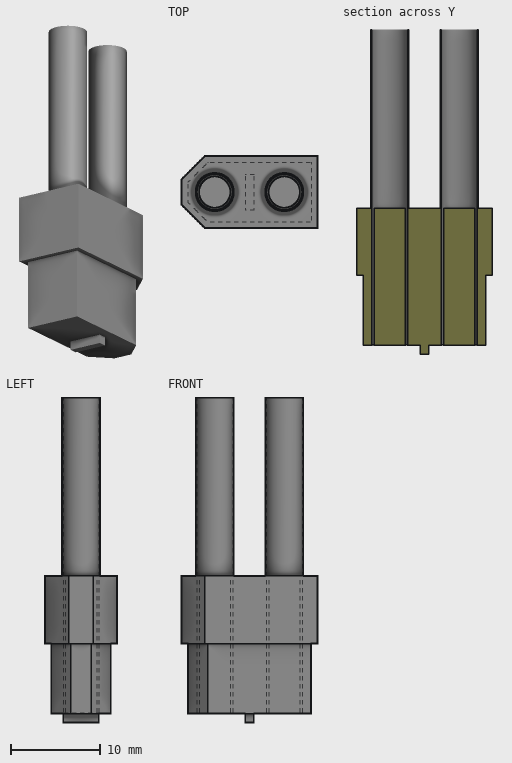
import cadquery as cq

flange_length = 15.3
flange_width = 8.1
flange_height = 7.6
flange_corner_cut = 2.65

plug_length = 13.8
plug_width = 6.7
plug_height = 7.85
plug_corner_cut = 2.2

tab_length = 1.0
tab_width = 4.0
tab_height = 1.0

contact_pitch = 7.8
contact_pin_diameter = 3.5
contact_gap_diameter = 4.0
contact_gap_floor = 0.1

sleeve_outer_diameter = 4.3
sleeve_inner_diameter = contact_gap_diameter
sleeve_height = 20.0

flange_top = plug_height + flange_height
contact_gap_depth = flange_top - contact_gap_floor
contact_positions = [(-contact_pitch / 2, 0), (contact_pitch / 2, 0)]


def keyed_block(length, width, height, corner_cut, base_z):
    """Upright block with both vertical edges at its -X end chamfered."""
    return (
        cq.Workplane("XY", origin=(0, 0, base_z))
        .box(length, width, height, centered=(True, True, False))
        .edges("|Z and <X")
        .chamfer(corner_cut)
    )


def ring(x, y, outer_diameter, inner_diameter, height):
    """Tube along Z, starting at the top of the flange."""
    return (
        cq.Workplane("XY", origin=(x, y, flange_top))
        .circle(outer_diameter / 2)
        .circle(inner_diameter / 2)
        .extrude(height)
    )


def make_housing():
    """Plug, flange, tab and contact pins in one piece; the pins end level with the flange top."""
    plug = keyed_block(plug_length, plug_width, plug_height, plug_corner_cut, 0)
    flange = keyed_block(flange_length, flange_width, flange_height, flange_corner_cut, plug_height)
    tab = cq.Workplane("XY").rect(tab_length, tab_width).extrude(-tab_height)
    body = plug.union(flange).union(tab)
    for x, y in contact_positions:
        gap = ring(x, y, contact_gap_diameter, contact_pin_diameter, -contact_gap_depth)
        body = body.cut(gap)
    return body


def make_sleeve(x, y):
    """Open thin-walled tube resting on the top of the flange."""
    return ring(x, y, sleeve_outer_diameter, sleeve_inner_diameter, sleeve_height)


housing = make_housing().solids()
sleeves = [make_sleeve(x, y) for x, y in contact_positions]

result = cq.Compound.makeCompound([housing.val(), *[sleeve.val() for sleeve in sleeves]])